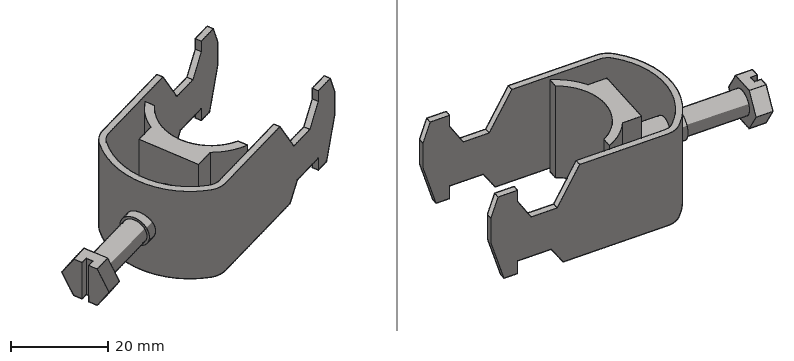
import cadquery as cq
import math


STRAP_WIDTH = 30.0
STRAP_HEIGHT = 24.0
STRAP_THICKNESS = 1.5
STRAP_LENGTH = 50.8
BOTTOM_RADIUS = 19.0
CORNER_RADIUS = 5.0

HOOK_BACK_Y = 44.5
HOOK_HALF_HEIGHT = 10.9
TIP_TOP_Z = 6.0
TIP_BOTTOM_Z = -0.4
HOOK_TOP_Y = 49.1
HOOK_BOTTOM_Y = 47.7
HOOK_BACK_TOP_Z = 8.0
UPPER_NECK_Z = 2.7
UPPER_NECK_END_Y = 41.3
UPPER_NECK_START_Y = 35.2
UPPER_SHOULDER_Y = 29.9
LOWER_NECK_Z = -7.6
LOWER_NECK_START_Y = 36.6
LOWER_SHOULDER_Y = 33.8

SADDLE_HEIGHT = 24.0
SADDLE_WIDTH = 25.0
SADDLE_INNER_RADIUS = 11.6
SADDLE_OUTER_RADIUS = 13.7
SADDLE_TOP_Y = 21.5
SADDLE_CENTER_Y = 27.1
BLOCK_WIDTH = 14.5
BLOCK_BOTTOM_Y = 11.0

SCREW_DIAMETER = 6.0
COLLAR_DIAMETER = 7.2
COLLAR_LENGTH = 2.0
HEAD_END_Y = -20.8
HEAD_THICKNESS = 4.0
HEAD_ACROSS_FLATS = 10.0
SLOT_WIDTH = 1.6
SLOT_DEPTH = 1.6


def upright_prism(outline, height):
    """Extrude a closed XY outline by height, centred on Z = 0."""
    return outline.extrude(height / 2, both=True)


def rod(diameter, start_y, end_y):
    """Cylinder along the screw axis between two Y positions."""
    return cq.Workplane("XZ", origin=(0, end_y, 0)).circle(diameter / 2).extrude(end_y - start_y)


def u_prism(inset):
    """Solid U shape, with its outline moved inwards from the strap outside."""
    half_width = STRAP_WIDTH / 2 - inset
    corner_radius = CORNER_RADIUS - inset
    bottom_radius = BOTTOM_RADIUS - inset

    corner_x = half_width - corner_radius
    corner_y = BOTTOM_RADIUS - math.sqrt((bottom_radius - corner_radius) ** 2 - corner_x**2)
    bottom_angle = math.asin(corner_x / (bottom_radius - corner_radius))
    middle_angle = (bottom_angle + math.pi / 2) / 2

    def on_corner(angle, side):
        x = corner_x + corner_radius * math.sin(angle)
        y = corner_y - corner_radius * math.cos(angle)
        return side * x, y

    outline = (
        cq.Workplane("XY")
        .moveTo(-half_width, STRAP_LENGTH)
        .lineTo(-half_width, corner_y)
        .threePointArc(on_corner(middle_angle, -1), on_corner(bottom_angle, -1))
        .threePointArc((0, inset), on_corner(bottom_angle, 1))
        .threePointArc(on_corner(middle_angle, 1), (half_width, corner_y))
        .lineTo(half_width, STRAP_LENGTH)
        .close()
    )
    return upright_prism(outline, STRAP_HEIGHT)


def arm_profile():
    """Side shape of the strap, as a prism through its full width."""
    half_height = STRAP_HEIGHT / 2
    outline = [
        (0, half_height),
        (UPPER_SHOULDER_Y, half_height),
        (UPPER_NECK_START_Y, UPPER_NECK_Z),
        (UPPER_NECK_END_Y, UPPER_NECK_Z),
        (HOOK_BACK_Y, HOOK_BACK_TOP_Z),
        (HOOK_BACK_Y, HOOK_HALF_HEIGHT),
        (HOOK_TOP_Y, HOOK_HALF_HEIGHT),
        (STRAP_LENGTH, TIP_TOP_Z),
        (STRAP_LENGTH, TIP_BOTTOM_Z),
        (HOOK_BOTTOM_Y, -HOOK_HALF_HEIGHT),
        (HOOK_BACK_Y, -HOOK_HALF_HEIGHT),
        (HOOK_BACK_Y, LOWER_NECK_Z),
        (LOWER_NECK_START_Y, LOWER_NECK_Z),
        (LOWER_SHOULDER_Y, -half_height),
        (0, -half_height),
    ]
    return cq.Workplane("YZ").polyline(outline).close().extrude(STRAP_WIDTH / 2, both=True)


def make_strap():
    bent_plate = u_prism(0).cut(u_prism(STRAP_THICKNESS))
    return bent_plate.intersect(arm_profile())


def make_saddle():
    """Curved cradle standing on a rectangular block."""
    center_drop = SADDLE_CENTER_Y - SADDLE_TOP_Y
    inner_half_width = math.sqrt(SADDLE_INNER_RADIUS**2 - center_drop**2)
    half_width = SADDLE_WIDTH / 2
    half_block = BLOCK_WIDTH / 2
    block_top_y = SADDLE_CENTER_Y - math.sqrt(SADDLE_OUTER_RADIUS**2 - half_block**2)

    middle_x = (half_width + half_block) / 2
    middle_y = SADDLE_CENTER_Y - math.sqrt(SADDLE_OUTER_RADIUS**2 - middle_x**2)

    outline = (
        cq.Workplane("XY")
        .moveTo(-inner_half_width, SADDLE_TOP_Y)
        .threePointArc((0, SADDLE_CENTER_Y - SADDLE_INNER_RADIUS), (inner_half_width, SADDLE_TOP_Y))
        .lineTo(half_width, SADDLE_TOP_Y)
        .threePointArc((middle_x, middle_y), (half_block, block_top_y))
        .lineTo(half_block, BLOCK_BOTTOM_Y)
        .lineTo(-half_block, BLOCK_BOTTOM_Y)
        .lineTo(-half_block, block_top_y)
        .threePointArc((-middle_x, middle_y), (-half_width, SADDLE_TOP_Y))
        .close()
    )
    return upright_prism(outline, SADDLE_HEIGHT)


def make_screw():
    """Slotted hexagon screw reaching from its head to the saddle block."""
    head_top_y = HEAD_END_Y + HEAD_THICKNESS
    head_across_corners = HEAD_ACROSS_FLATS / math.cos(math.pi / 6)
    head = (
        cq.Workplane("XZ", origin=(0, head_top_y, 0))
        .polygon(6, head_across_corners)
        .extrude(HEAD_THICKNESS)
    )
    slot = cq.Workplane("XY").box(SLOT_WIDTH, 2 * SLOT_DEPTH, head_across_corners)
    head = head.cut(slot.translate((0, HEAD_END_Y, 0)))
    return head.union(rod(SCREW_DIAMETER, head_top_y, BLOCK_BOTTOM_Y))


def make_collar():
    """Raised collar around the screw, rooted inside the strap wall."""
    return rod(COLLAR_DIAMETER, -COLLAR_LENGTH, STRAP_THICKNESS / 2)


result = make_strap().union(make_collar()).union(make_saddle()).union(make_screw())